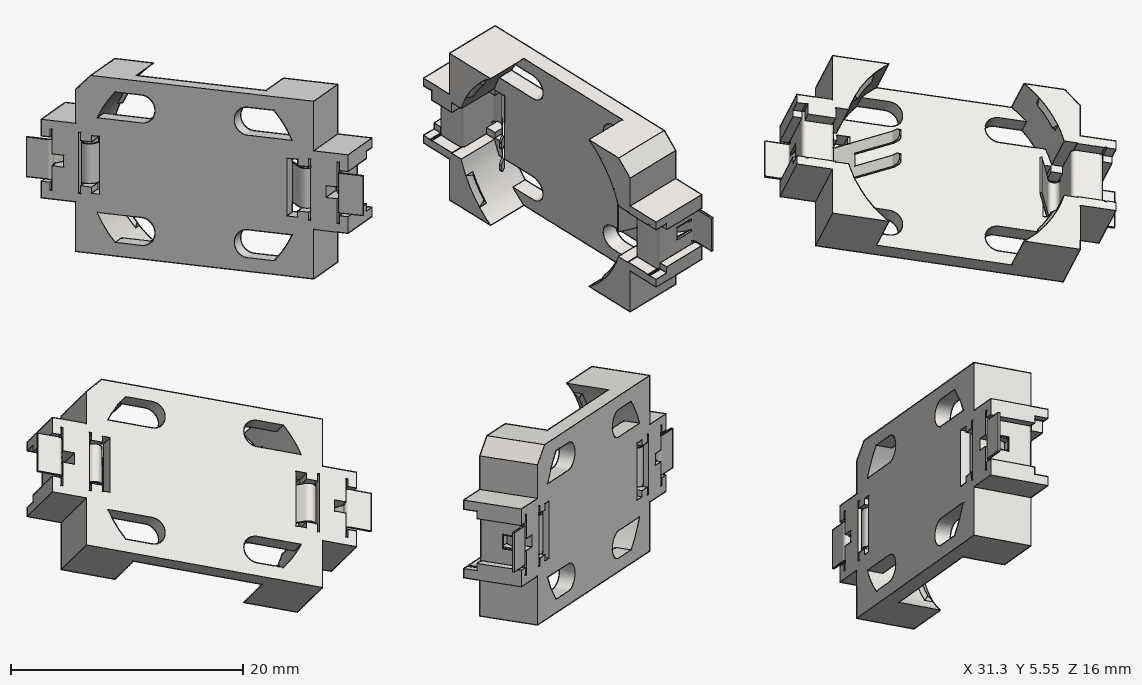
import cadquery as cq
import math


BODY_LENGTH = 22.15
BODY_WIDTH = 16.0
BODY_HEIGHT = 5.55
CORNER_CHAMFER = 1.4
EAR_END = 14.27
EAR_HALF_WIDTH = 3.55

CELL_RADIUS = 10.02
FLOOR_HEIGHT = 1.5
LIP_RADIUS = 9.7
LIP_BASE = 4.7
LIP_HEIGHT = CELL_RADIUS - LIP_RADIUS

SLOT_RADIUS = 1.25
SLOT_Z = 5.5
SLOT_CENTRE_X = 4.95
SLOT_BOTTOM = SLOT_Z - SLOT_RADIUS
SLOT_TOP = SLOT_Z + SLOT_RADIUS

STRIP = 0.2
OVERALL_LENGTH = 31.3
OUTER_LEG_X = 13.35
INNER_LEG_X = 10.7
BRIDGE_TOP = 4.45
LEG_HALF_WIDTH = 2.7
NECK_HALF_WIDTH = 1.78
NECK_TOP = 0.38
TAB_BEND_RADIUS = 0.25
BRIDGE_BEND_RADIUS = 0.28
SPRING_BEND_RADIUS = 0.63
FINGERED_BEND_Y = 0.95
FINGERED_ANGLE = 44.0
SHORT_BEND_Y = 0.78
SHORT_ANGLE = 66.0
KINK_X = 5.38
KINK_RADIUS = 0.15
FINGER_TIP_X = 4.98
FINGER_TIP_Y = 5.38
FINGER_INNER_Z = 0.65
FINGER_CORNER = 0.47
FINGER_ROOT_X = 8.15
SHORT_SPRING_END_X = 7.98

BARB_HALF_WIDTH = 0.47
BARB_ROOT_Y = 0.6
BARB_TIP_Y = 2.2
BARB_BEND_RADIUS = 0.25
BARB_TIP_X = 12.33
WINDOW_HALF_WIDTH = 0.65
WINDOW_BASE = 0.45
POCKET_HALF_WIDTH = 0.53
POCKET_END_X = 12.2

SEAT_HALF_WIDTH = 2.75
NOTCH_HALF_WIDTH = 2.7
TAB_GAP_HALF_WIDTH = 2.05
SHORT_WELL_END_X = 8.85
FINGERED_WELL_END_X = 8.58
WELL_EDGE_CHAMFER = 0.2
WELL_STEP_X = 9.58
WELL_END_HALF_WIDTH = 2.6
KEY_INNER_Z = 1.7

INNER_BEND_RADIUS = BRIDGE_BEND_RADIUS - STRIP / 2
BRIDGE_BOTTOM = BRIDGE_TOP - STRIP
POST_OUTER_X = OUTER_LEG_X - STRIP / 2
POST_INNER_X = INNER_LEG_X + STRIP / 2


def box(x_range, y_range, z_range):
    """Box between pairs of limits along each axis."""
    (x0, x1), (y0, y1), (z0, z1) = x_range, y_range, z_range
    return cq.Workplane("XY").box(x1 - x0, y1 - y0, z1 - z0, centered=False).translate((x0, y0, z0))


def centred_box(x_range, y_range, half_width):
    """Box that is symmetric about z = 0."""
    return box(x_range, y_range, (-half_width, half_width))


def cylinder(radius, y_from, y_to):
    """Cylinder about the Y axis."""
    return cq.Workplane("XZ", origin=(0, y_from, 0)).circle(radius).extrude(y_from - y_to)


def mirrored(shape):
    """The same shape at the opposite end of the holder."""
    return shape.mirror("YZ")


def in_quarter(shape, x_side, z_side):
    """Shape built in the +X, +Z quarter, mirrored into the quarter on the given sides."""
    if x_side < 0:
        shape = mirrored(shape)
    return shape if z_side > 0 else shape.mirror("XY")


def bend(before, corner, after, radius):
    """Centre, end normals and turn direction of the arc that rounds a corner of a strip."""
    length_in = math.dist(before, corner)
    length_out = math.dist(corner, after)
    way_in = ((corner[0] - before[0]) / length_in, (corner[1] - before[1]) / length_in)
    way_out = ((after[0] - corner[0]) / length_out, (after[1] - corner[1]) / length_out)
    cross = way_in[0] * way_out[1] - way_in[1] * way_out[0]
    dot = way_in[0] * way_out[0] + way_in[1] * way_out[1]
    turn = math.copysign(1, cross)
    setback = radius * math.tan(math.acos(dot) / 2)
    normal_in = (-way_in[1], way_in[0])
    normal_out = (-way_out[1], way_out[0])
    centre = (
        corner[0] - setback * way_in[0] + turn * radius * normal_in[0],
        corner[1] - setback * way_in[1] + turn * radius * normal_in[1],
    )
    return centre, normal_in, normal_out, turn


def bent_strip(points, radii, half_width):
    """Strip of constant thickness along a centre line whose corners are rounded."""
    bends = [bend(*points[i:i + 3], radius) for i, radius in enumerate(radii)]

    def end_point(point, normal, side):
        return (point[0] + side * normal[0] * STRIP / 2, point[1] + side * normal[1] * STRIP / 2)

    def bend_points(index, side):
        """Start, middle and end of one face's arc at a bend."""
        centre, normal_in, normal_out, turn = bends[index]
        reach = side * STRIP / 2 - turn * radii[index]
        middle = (normal_in[0] + normal_out[0], normal_in[1] + normal_out[1])
        size = math.hypot(*middle)
        normals = (normal_in, (middle[0] / size, middle[1] / size), normal_out)
        return [(centre[0] + reach * n[0], centre[1] + reach * n[1]) for n in normals]

    first_normal = bends[0][1]
    last_normal = bends[-1][2]
    outline = cq.Workplane("XY", origin=(0, 0, -half_width)).moveTo(*end_point(points[0], first_normal, 1))
    for index in range(len(bends)):
        start, middle, end = bend_points(index, 1)
        outline = outline.lineTo(*start).threePointArc(middle, end)
    outline = outline.lineTo(*end_point(points[-1], last_normal, 1))
    outline = outline.lineTo(*end_point(points[-1], last_normal, -1))
    for index in reversed(range(len(bends))):
        start, middle, end = bend_points(index, -1)
        outline = outline.lineTo(*end).threePointArc(middle, start)
    outline = outline.lineTo(*end_point(points[0], first_normal, -1))
    return outline.close().extrude(2 * half_width)


def spring_corner(bend_y, angle):
    """Point where the centre lines of the inner leg and of an arm rising at this angle would meet."""
    return (INNER_LEG_X, bend_y - SPRING_BEND_RADIUS * math.tan(math.radians(90 + angle) / 2))


def arm_point(corner, angle, x):
    """Point at a given x on the centre line of a spring arm."""
    return (x, corner[1] + (corner[0] - x) * math.tan(math.radians(angle)))


def contact_strip(arm_points, arm_radii):
    """Tab, outer leg, bridge, inner leg and spring arm as one strip, at the +X end."""
    points = [
        (OVERALL_LENGTH / 2, STRIP / 2),
        (OUTER_LEG_X, STRIP / 2),
        (OUTER_LEG_X, BRIDGE_TOP - STRIP / 2),
        (INNER_LEG_X, BRIDGE_TOP - STRIP / 2),
        *arm_points,
    ]
    radii = [TAB_BEND_RADIUS, BRIDGE_BEND_RADIUS, BRIDGE_BEND_RADIUS, *arm_radii]
    strip = bent_strip(points, radii, LEG_HALF_WIDTH)
    legs = centred_box((POST_INNER_X - STRIP, OUTER_LEG_X + STRIP), (NECK_TOP, BRIDGE_TOP), LEG_HALF_WIDTH)
    neck = centred_box((0, OVERALL_LENGTH / 2), (0, BODY_HEIGHT), NECK_HALF_WIDTH)
    return strip.intersect(legs.union(neck))


def add_barb(contact):
    """Window in the outer leg with the barb that is bent inwards out of it."""
    leg_range = (POST_OUTER_X - STRIP, OUTER_LEG_X + STRIP)
    window = centred_box(leg_range, (WINDOW_BASE, BARB_TIP_Y), WINDOW_HALF_WIDTH)
    points = [(OUTER_LEG_X, WINDOW_BASE), (OUTER_LEG_X, BARB_ROOT_Y), (BARB_TIP_X + STRIP / 2, BARB_TIP_Y)]
    barb = bent_strip(points, [BARB_BEND_RADIUS], BARB_HALF_WIDTH)
    return contact.cut(window).union(barb)


def fingered_contact():
    """Contact whose spring arm splits into two round-ended fingers with steeper tips."""
    corner = spring_corner(FINGERED_BEND_Y, FINGERED_ANGLE)
    kink = arm_point(corner, FINGERED_ANGLE, KINK_X)
    tip = (FINGER_TIP_X, FINGER_TIP_Y)
    contact = contact_strip([corner, kink, tip], [SPRING_BEND_RADIUS, KINK_RADIUS])
    finger_width = NECK_HALF_WIDTH - FINGER_INNER_Z
    finger_z = (NECK_HALF_WIDTH + FINGER_INNER_Z) / 2
    finger_envelope = (
        cq.Workplane("YZ")
        .pushPoints([(BODY_HEIGHT / 2, -finger_z), (BODY_HEIGHT / 2, finger_z)])
        .rect(FINGER_TIP_Y * 2 - BODY_HEIGHT + STRIP / 2, finger_width)
        .extrude(FINGER_ROOT_X)
        .edges("|X and >Y")
        .fillet(FINGER_CORNER)
    )
    behind_fingers = centred_box((FINGER_ROOT_X, OVERALL_LENGTH / 2), (0, BODY_HEIGHT), LEG_HALF_WIDTH)
    return add_barb(contact.intersect(behind_fingers.union(finger_envelope)))


def short_contact():
    """Contact whose spring arm ends short, in one piece; it stands at the -X end."""
    corner = spring_corner(SHORT_BEND_Y, SHORT_ANGLE)
    arm_end = arm_point(corner, SHORT_ANGLE, SHORT_SPRING_END_X)
    return mirrored(add_barb(contact_strip([corner, arm_end], [SPRING_BEND_RADIUS])))


def housing_block():
    """Chamfered block with an ear at each end for the contacts."""
    half_length, half_width = BODY_LENGTH / 2, BODY_WIDTH / 2
    block = centred_box((-half_length, half_length), (0, BODY_HEIGHT), half_width)
    block = block.edges("|Y and <X and >Z").chamfer(CORNER_CHAMFER)
    return block.union(centred_box((-EAR_END, EAR_END), (0, BODY_HEIGHT), EAR_HALF_WIDTH))


def slot(x_side, z_side):
    """Floor slot that is rounded inwards and ends outwards on the cavity wall."""
    straight = box((SLOT_CENTRE_X, CELL_RADIUS), (0, FLOOR_HEIGHT), (SLOT_BOTTOM, SLOT_TOP))
    round_end = cylinder(SLOT_RADIUS, 0, FLOOR_HEIGHT).translate((SLOT_CENTRE_X, 0, SLOT_Z))
    shape = straight.intersect(cylinder(CELL_RADIUS, 0, FLOOR_HEIGHT)).union(round_end)
    return in_quarter(shape, x_side, z_side)


def lip_ring():
    """Ridge round the cavity with a 45 degree underside and a gentler lead-in at the mouth."""
    return (
        cq.Workplane("XY")
        .moveTo(CELL_RADIUS, LIP_BASE)
        .lineTo(LIP_RADIUS, LIP_BASE + LIP_HEIGHT)
        .lineTo(CELL_RADIUS, BODY_HEIGHT)
        .close()
        .revolve(360, (0, 0, 0), (0, 1, 0))
    )


def cell_cavity():
    """Round cavity, less the lips that stand over the slots."""
    cavity = cylinder(CELL_RADIUS, FLOOR_HEIGHT, BODY_HEIGHT)
    slot_corner_x = math.sqrt(CELL_RADIUS**2 - SLOT_TOP**2)
    lip = lip_ring().intersect(box((slot_corner_x, CELL_RADIUS), (0, BODY_HEIGHT), (SLOT_BOTTOM, SLOT_TOP)))
    for x_side in (-1, 1):
        for z_side in (-1, 1):
            cavity = cavity.cut(in_quarter(lip, x_side, z_side))
    return cavity


def contact_seat(well_end_x):
    """Everything removed at the +X end to seat a contact whose well ends at this x."""
    slit_outer = centred_box((POST_OUTER_X, OUTER_LEG_X + STRIP / 2), (0, BODY_HEIGHT), SEAT_HALF_WIDTH)
    slit_inner = centred_box((POST_INNER_X - STRIP, POST_INNER_X), (0, BODY_HEIGHT), SEAT_HALF_WIDTH)
    spring_bay = centred_box((0, POST_INNER_X), (FLOOR_HEIGHT, BODY_HEIGHT), SEAT_HALF_WIDTH)
    notch = centred_box((0, EAR_END), (BRIDGE_BOTTOM, BODY_HEIGHT), NOTCH_HALF_WIDTH)
    tab_gap = centred_box((POST_OUTER_X, EAR_END), (0, BODY_HEIGHT), TAB_GAP_HALF_WIDTH)
    well = centred_box((well_end_x, POST_INNER_X), (0, BODY_HEIGHT), TAB_GAP_HALF_WIDTH)
    well_end = centred_box((well_end_x, WELL_STEP_X), (0, BODY_HEIGHT), WELL_END_HALF_WIDTH)
    pocket = centred_box((POCKET_END_X, OUTER_LEG_X), (0, BARB_TIP_Y + STRIP), POCKET_HALF_WIDTH)
    seat = slit_outer.union(slit_inner).union(spring_bay).union(notch)
    return seat.union(tab_gap).union(well).union(well_end).union(pocket)


def well_edge_relief():
    """Chamfer on the floor edge that the rising fingered arm passes over."""
    return (
        cq.Workplane("XY", origin=(FINGERED_WELL_END_X, FLOOR_HEIGHT, -WELL_END_HALF_WIDTH))
        .lineTo(0, -WELL_EDGE_CHAMFER)
        .lineTo(-WELL_EDGE_CHAMFER, 0)
        .close()
        .extrude(2 * WELL_END_HALF_WIDTH)
    )


def post_rounding():
    """Material outside the rounded top corners of the post that the bridge wraps."""
    post = centred_box((POST_INNER_X, POST_OUTER_X), (0, BRIDGE_BOTTOM), NOTCH_HALF_WIDTH)
    rounded = post.edges("|Z and >Y").fillet(INNER_BEND_RADIUS)
    return post.cut(rounded)


def key():
    """Block standing beside the bridge of the +X contact, against one side of the notch."""
    return box((POST_INNER_X, POST_OUTER_X), (BRIDGE_TOP, BODY_HEIGHT), (KEY_INNER_Z, NOTCH_HALF_WIDTH))


def make_housing():
    body = housing_block().cut(cell_cavity())
    for x_side in (-1, 1):
        for z_side in (-1, 1):
            body = body.cut(slot(x_side, z_side))
    body = body.cut(contact_seat(FINGERED_WELL_END_X)).cut(mirrored(contact_seat(SHORT_WELL_END_X)))
    return body.cut(post_rounding()).cut(mirrored(post_rounding())).cut(well_edge_relief()).union(key())


housing = make_housing()
plus_contact = short_contact()
minus_contact = fingered_contact()

result = cq.Compound.makeCompound([housing.val(), plus_contact.val(), minus_contact.val()])